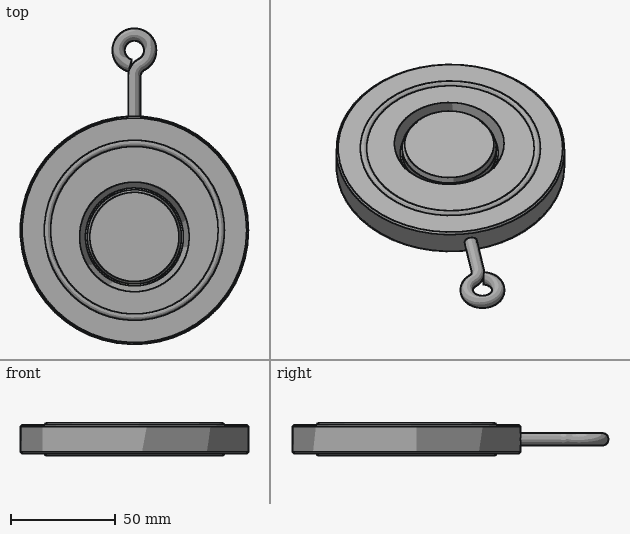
import cadquery as cq
import math

body_diameter = 109.0
body_thickness = 13.9
body_chamfer = 0.9
overall_thickness = 15.9

seal_outer_diameter = 86.4
seal_width = 3.3

seat_offset_y = -3.2
seat_top_diameter = 52.4
seat_floor_diameter = 46.8
seat_depth = 7.0
flap_diameter = 45.0
flap_top_diameter = 42.6
flap_chamfer_height = 2.5
flap_recess = 0.6

overall_length = 151.0
wire_diameter = 6.0
eye_radius = 7.5
shank_to_eye = 12.4
eye_end_angle = 255.0
shank_embedding = 3.0

body_radius = body_diameter / 2
face_z = body_thickness / 2


def make_body():
    disc = cq.Workplane("XY").circle(body_radius).extrude(body_thickness)
    return disc.translate((0, 0, -face_z)).edges().chamfer(body_chamfer)


def make_seal(side):
    """Round-section ring whose crest lies at half the overall thickness; side is +1 or -1."""
    section_radius = seal_width / 2
    ring_radius = seal_outer_diameter / 2 - section_radius
    center_z = overall_thickness / 2 - section_radius
    ring = cq.Solid.makeTorus(ring_radius, section_radius, cq.Vector(0, 0, side * center_z))
    return cq.Workplane(obj=ring)


def make_seat_recess():
    return cq.Workplane(
        obj=cq.Solid.makeCone(
            seat_floor_diameter / 2,
            seat_top_diameter / 2,
            seat_depth,
            cq.Vector(0, seat_offset_y, face_z - seat_depth),
        )
    )


def make_flap():
    """Flap standing on the seat floor, with a bevelled upper rim."""
    height = seat_depth - flap_recess
    bevel_width = (flap_diameter - flap_top_diameter) / 2
    plate = cq.Workplane("XY").circle(flap_diameter / 2).extrude(height)
    plate = plate.faces(">Z").chamfer(flap_chamfer_height, bevel_width)
    return plate.translate((0, seat_offset_y, face_z - seat_depth))


def make_lifting_eye():
    """Straight shank, a bend to the right, then an open loop back to the shank."""
    eye_y = overall_length - body_radius - eye_radius - wire_diameter / 2
    shank_start_y = body_radius - shank_embedding
    shank_end_y = eye_y - shank_to_eye
    bend_radius = (shank_to_eye**2 - eye_radius**2) / (2 * eye_radius)
    loop_start = math.atan2(-shank_to_eye, bend_radius)
    loop_end = math.radians(eye_end_angle)

    def on_eye(angle):
        return (eye_radius * math.cos(angle), eye_y + eye_radius * math.sin(angle))

    path = (
        cq.Workplane("XY")
        .moveTo(0, shank_start_y)
        .lineTo(0, shank_end_y)
        .tangentArcPoint(on_eye(loop_start), relative=False)
        .threePointArc(on_eye((loop_start + loop_end) / 2), on_eye(loop_end))
    )
    section = cq.Workplane("XZ", origin=(0, shank_start_y, 0)).circle(wire_diameter / 2)
    return section.sweep(path)


result = make_body()
for seal_side in (1, -1):
    result = result.union(make_seal(seal_side))
result = result.cut(make_seat_recess()).union(make_flap()).union(make_lifting_eye())